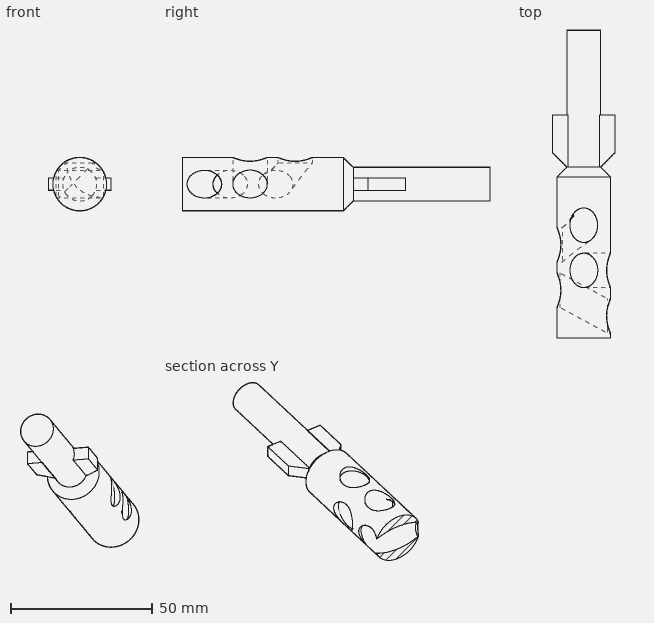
import cadquery as cq

total_length = 109.08
body_diameter = 19.0
shank_diameter = 12.0
shank_length = 48.5
shoulder_length = (body_diameter - shank_diameter) / 2

wing_span = 22.31
wing_thickness = 4.4
wing_setback = 30.0

mouth_length = 12.2
mouth_width = 9.8
rear_mouth_depth = 2.0
cross_mouth_depth = 1.0

rear_top_mouth = 40.0
rear_left_mouth = 33.1
elbow_mouth = 24.0
cross_left_mouth = 17.0
cross_right_mouth = 7.8

body_radius = body_diameter / 2
shank_radius = shank_diameter / 2
shoulder_end = total_length - shank_length
body_length = shoulder_end - shoulder_length
wing_back = total_length - wing_setback

TOP = cq.Vector(0, 0, 1)
LEFT = cq.Vector(-1, 0, 0)
RIGHT = cq.Vector(1, 0, 0)


def make_spindle():
    """Body, conical shoulder and shank turned about Y."""
    profile = (
        cq.Workplane("XY")
        .lineTo(body_radius, 0)
        .lineTo(body_radius, body_length)
        .lineTo(shank_radius, shoulder_end)
        .lineTo(shank_radius, total_length)
        .lineTo(0, total_length)
        .close()
    )
    return profile.revolve(360, (0, 0, 0), (0, 1, 0))


def make_wings():
    """One plate through the shank that forms both wings."""
    tip = wing_span / 2
    taper = tip - shank_radius
    return (
        cq.Workplane("XY")
        .moveTo(-shank_radius, shoulder_end)
        .lineTo(-tip, shoulder_end + taper)
        .lineTo(-tip, wing_back)
        .lineTo(tip, wing_back)
        .lineTo(tip, shoulder_end + taper)
        .lineTo(shank_radius, shoulder_end)
        .close()
        .extrude(wing_thickness / 2, both=True)
    )


def mouth_center(side, y, distance):
    return side * distance + cq.Vector(0, y, 0)


def oval(side, y, distance):
    """Oval outline facing a side, at a distance from the part's axis."""
    plane = cq.Plane(origin=mouth_center(side, y, distance), xDir=(0, 1, 0), normal=side)
    return cq.Workplane(plane).ellipse(mouth_length / 2, mouth_width / 2)


def make_straight_tunnel(first, second, mouth_depth):
    """Two square-cut mouths joined by a straight-sided passage between their inner ovals."""
    inner = body_radius - mouth_depth
    ends = [oval(side, y, inner) for side, y in (first, second)]
    passage = cq.Solid.makeLoft([end.ctx.pendingWires[0] for end in ends], True)
    tunnel = cq.Workplane(passage)
    for end in ends:
        tunnel = tunnel.union(end.extrude(mouth_depth))
    return tunnel


def make_curved_tunnel(first, second):
    """An oval swept along a smooth curve that meets both mouths squarely."""
    start = mouth_center(*first, body_radius)
    finish = mouth_center(*second, body_radius)
    path = cq.Workplane("XY").spline([start, finish], tangents=[-first[0], second[0]])
    return oval(*first, body_radius).sweep(path)


rear_tunnel = make_straight_tunnel((TOP, rear_top_mouth), (LEFT, rear_left_mouth), rear_mouth_depth)
elbow_tunnel = make_curved_tunnel((TOP, elbow_mouth), (RIGHT, elbow_mouth))
cross_tunnel = make_straight_tunnel((LEFT, cross_left_mouth), (RIGHT, cross_right_mouth), cross_mouth_depth)

result = make_spindle().union(make_wings())
for tunnel in (rear_tunnel, elbow_tunnel, cross_tunnel):
    result = result.cut(tunnel)